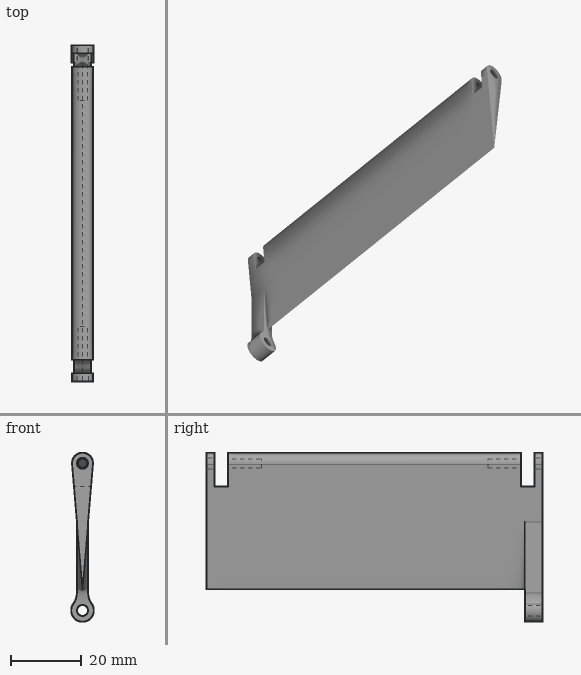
import cadquery as cq
import math

span = 95.0
hinge_diameter = 6.0
hinge_radius = hinge_diameter / 2
trailing_edge_z = -35.6
taper_angle = math.asin(hinge_radius / -trailing_edge_z)

lug_width = 2.4
slot_width = 3.7
slot_depth = 9.5
lug_hole_diameter = 3.1
pin_hole_diameter = 2.6
pin_hole_depth = 9.5

horn_thickness = 5.0
horn_width = 3.2
eye_radius = 3.2
eye_hole_diameter = 3.0
overall_height = 47.8
blend_radius = 5.2
eye_z = hinge_radius - overall_height + eye_radius


def extrude_along_y(outline, start, length):
    """Extrude an XZ outline from Y = start towards +Y."""
    return outline.extrude(-length).translate((0, start, 0))


def cylinder_along_y(diameter, start, length, z=0.0):
    outline = cq.Workplane("XZ").center(0, z).circle(diameter / 2)
    return extrude_along_y(outline, start, length)


def make_plate():
    tangent_x = hinge_radius * math.cos(taper_angle)
    tangent_z = -hinge_radius * math.sin(taper_angle)
    outline = (
        cq.Workplane("XZ")
        .moveTo(0, trailing_edge_z)
        .lineTo(tangent_x, tangent_z)
        .threePointArc((0, hinge_radius), (-tangent_x, tangent_z))
        .close()
    )
    return extrude_along_y(outline, 0, span)


def make_horn():
    half_width = horn_width / 2
    blend_x = half_width + blend_radius
    center_distance = eye_radius + blend_radius
    blend_height = math.sqrt(center_distance**2 - blend_x**2)
    blend_z = eye_z + blend_height
    contact_x = blend_x * eye_radius / center_distance
    contact_z = eye_z + blend_height * eye_radius / center_distance

    mid_angle = math.atan2(blend_height, blend_x) / 2
    mid_x = blend_x - blend_radius * math.cos(mid_angle)
    mid_z = blend_z - blend_radius * math.sin(mid_angle)

    shank_top_z = trailing_edge_z + half_width / math.tan(taper_angle)
    outline = (
        cq.Workplane("XZ")
        .moveTo(-half_width, shank_top_z)
        .lineTo(half_width, shank_top_z)
        .lineTo(half_width, blend_z)
        .threePointArc((mid_x, mid_z), (contact_x, contact_z))
        .threePointArc((0, eye_z - eye_radius), (-contact_x, contact_z))
        .threePointArc((-mid_x, mid_z), (-half_width, blend_z))
        .close()
    )
    return extrude_along_y(outline, span - horn_thickness, horn_thickness)


def make_slot(start):
    floor_z = hinge_radius - slot_depth
    return cq.Workplane("XY").box(
        hinge_diameter, slot_width, slot_depth, centered=(True, False, False)
    ).translate((0, start, floor_z))


result = make_plate().union(make_horn())

barrel_start = lug_width + slot_width
barrel_end = span - barrel_start
for slot_start in (lug_width, barrel_end):
    result = result.cut(make_slot(slot_start))

for lug_start in (0, span - lug_width):
    result = result.cut(cylinder_along_y(lug_hole_diameter, lug_start, lug_width))

for pin_start in (barrel_start, barrel_end - pin_hole_depth):
    result = result.cut(cylinder_along_y(pin_hole_diameter, pin_start, pin_hole_depth))

result = result.cut(
    cylinder_along_y(eye_hole_diameter, span - horn_thickness, horn_thickness, eye_z)
)